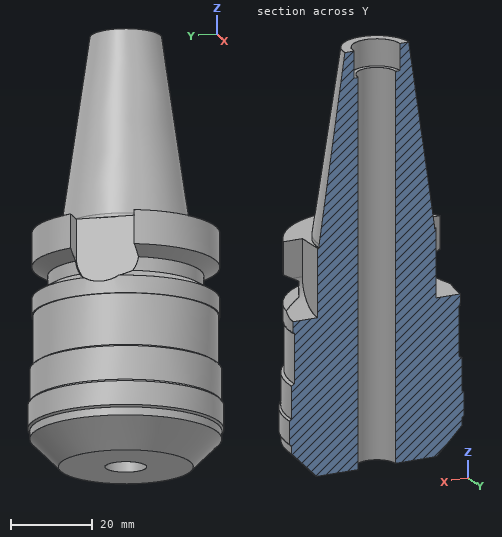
import cadquery as cq
import math


gauge_radius = 31.75 / 2
taper_length = 48.4
taper_ratio = 7 / 24
taper_tip_radius = gauge_radius - taper_length * taper_ratio / 2

flange_radius = 23.0
flange_top = -1.0
flange_bottom = -22.0
groove_center = -13.6
groove_floor_radius = 19.1
groove_half_width = 4.0
groove_wall_angle = math.radians(30)
groove_wall_height = (flange_radius - groove_floor_radius) * math.tan(groove_wall_angle)
groove_floor_half_width = groove_half_width - groove_wall_height

projection = 60.0
nose_bottom = -projection
body_radius = 22.7
body_bottom = -35.0
sleeve_radius = 23.5
sleeve_bottom = -44.0
nut_radius = 24.0
nut_bottom = -50.5
edge_chamfer = 0.5
nose_radius = 16.5
nose_chamfer = sleeve_radius - nose_radius

keyway_width = 16.1
keyway_floor = 16.3
keyway_end = -18.9
keyway_end_radius = keyway_width / 2

bore_radius = 5.1
pilot_radius = 6.25
pilot_depth = 7.0


def make_turned_body():
    """Revolve the outer profile, running from the taper tip down to the nose."""
    profile = [
        (0, taper_length),
        (taper_tip_radius, taper_length),
        (gauge_radius, 0),
        (gauge_radius, flange_top),
        (flange_radius, flange_top),
        (flange_radius, groove_center + groove_half_width),
        (groove_floor_radius, groove_center + groove_floor_half_width),
        (groove_floor_radius, groove_center - groove_floor_half_width),
        (flange_radius, groove_center - groove_half_width),
        (flange_radius, flange_bottom),
        (body_radius, flange_bottom),
        (body_radius, body_bottom),
        (sleeve_radius, body_bottom - edge_chamfer),
        (sleeve_radius, sleeve_bottom),
        (nut_radius, sleeve_bottom - edge_chamfer),
        (nut_radius, nut_bottom),
        (sleeve_radius, nut_bottom - edge_chamfer),
        (sleeve_radius, nose_bottom + nose_chamfer),
        (nose_radius, nose_bottom),
        (0, nose_bottom),
    ]
    return cq.Workplane("XZ").polyline(profile).close().revolve(360, (0, 0), (0, 1))


def make_keyway_cutter(side):
    """Round-ended slot open upward and outward; side is +1 for +X and -1 for -X."""
    arc_start = keyway_end + keyway_end_radius
    return (
        cq.Workplane("YZ", origin=(side * keyway_floor, 0, 0))
        .moveTo(-keyway_end_radius, flange_top)
        .lineTo(-keyway_end_radius, arc_start)
        .threePointArc((0, keyway_end), (keyway_end_radius, arc_start))
        .lineTo(keyway_end_radius, flange_top)
        .close()
        .extrude(side * (nut_radius - keyway_floor))
    )


def make_bore_cutter():
    """Through bore with a wider pilot at the taper tip."""
    total_length = projection + taper_length
    through_bore = cq.Workplane("XY", origin=(0, 0, nose_bottom)).circle(bore_radius).extrude(total_length)
    pilot = cq.Workplane("XY", origin=(0, 0, taper_length)).circle(pilot_radius).extrude(-pilot_depth)
    return through_bore.union(pilot)


result = make_turned_body()
for side in (-1, 1):
    result = result.cut(make_keyway_cutter(side))
result = result.cut(make_bore_cutter())